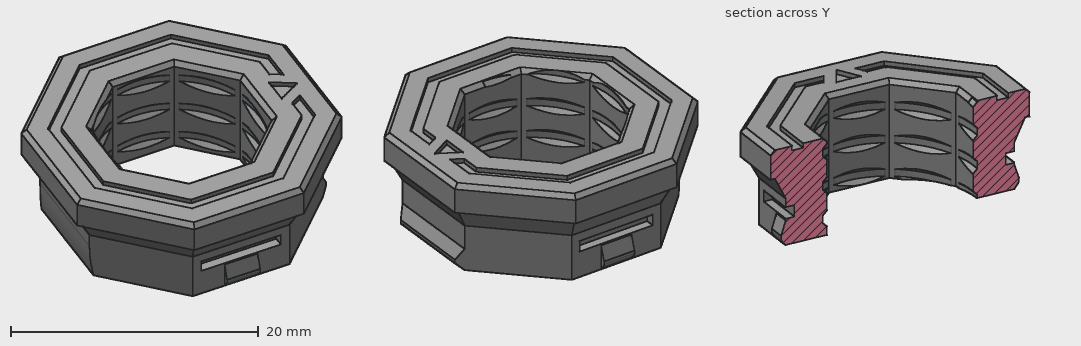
import cadquery as cq
import math

OCTAGON_SIDES = 8
CORNER_FACTOR = 1 / math.cos(math.pi / OCTAGON_SIDES)

height = 8.8
flange_apothem = 12.0
flange_bottom_z = 6.2
flange_chamfer = 0.4
flare_step = 0.4
flare_height = 2.0
skirt_apothem = 10.6
skirt_top_z = flange_bottom_z - flare_height

bore_apothem = 6.75
bore_chamfer = 0.4

thread_pitch = 3.0
thread_turns = 3
thread_overrun_angle = 6.3
thread_root_radius = 7.15
thread_root_width = 0.63
thread_inner_radius = 6.5

mark_depth = 0.4
ring_outer_apothem = 10.0
ring_inner_apothem = 9.0
pointer_height = 2.0
pointer_half_angle = 30
pointer_tip_y = 10.5
pointer_clearance = 1.0

clip_width = 3.0
clip_reach = 0.43
clip_top_z = 2.25
clip_flat_top_z = 0.95
clip_flat_bottom_z = 0.72
clip_lead_in_top_z = 0.43
clip_lead_in_reach = 0.34
slot_width = 7.2
slot_bottom_z = 2.4
slot_height = 1.0
slot_depth = 0.8

lip_reach = 0.57
lip_top_z = 2.0
lip_flat_top_z = 0.9
lip_flat_bottom_z = 0.55

relief_top_z = 3.0
relief_depth = 0.25

overlap = 0.5


def octagon(apothem, z):
    """Closed octagon wire with flats facing the X and Y axes."""
    half_side_angle = 180 / OCTAGON_SIDES
    return (
        cq.Workplane("XY", origin=(0, 0, z))
        .transformed(rotate=(0, 0, half_side_angle))
        .polygon(OCTAGON_SIDES, 2 * apothem * CORNER_FACTOR)
    )


def octagon_prism(apothem, bottom_z, top_z):
    return octagon(apothem, bottom_z).extrude(top_z - bottom_z)


def octagon_taper(bottom_apothem, bottom_z, top_apothem, top_z):
    """Octagonal frustum between two levels."""
    bottom = octagon(bottom_apothem, bottom_z).val()
    top = octagon(top_apothem, top_z).val()
    return cq.Workplane(cq.Solid.makeLoft([bottom, top], True))


def make_body():
    chamfer_z = height - flange_chamfer
    skirt = octagon_prism(skirt_apothem, 0, skirt_top_z)
    flare = octagon_taper(skirt_apothem, skirt_top_z, flange_apothem - flare_step, flange_bottom_z)
    rim = octagon_prism(flange_apothem, flange_bottom_z, chamfer_z)
    bevel = octagon_taper(flange_apothem, chamfer_z, flange_apothem - flange_chamfer, height)
    return skirt.union(flare).union(rim).union(bevel)


def make_bore():
    through = octagon_prism(bore_apothem, -overlap, height + overlap)
    bevel = octagon_taper(bore_apothem, height - bore_chamfer, bore_apothem + bore_chamfer, height)
    return through.union(bevel)


def make_thread():
    """Helical cutter that starts on the +X axis at the bottom plane."""
    half_root = thread_root_width / 2
    half_mouth = half_root + thread_root_radius - thread_inner_radius
    rise = thread_pitch * (thread_turns + thread_overrun_angle / 360)
    helix = cq.Wire.makeHelix(thread_pitch, rise, thread_root_radius)
    return (
        cq.Workplane("XZ")
        .moveTo(thread_inner_radius, -half_mouth)
        .lineTo(thread_root_radius, -half_root)
        .lineTo(thread_root_radius, half_root)
        .lineTo(thread_inner_radius, half_mouth)
        .close()
        .sweep(cq.Workplane(helix), isFrenet=True)
    )


def pointer_prism(offset):
    """Equilateral triangle pointing to +Y, with its sides moved outward by offset."""
    tip_y = pointer_tip_y + offset / math.sin(math.radians(pointer_half_angle))
    base_y = pointer_tip_y - pointer_height - offset
    half_base = (tip_y - base_y) * math.tan(math.radians(pointer_half_angle))
    return (
        cq.Workplane("XY", origin=(0, 0, height - mark_depth))
        .polyline([(0, tip_y), (half_base, base_y), (-half_base, base_y)])
        .close()
        .extrude(mark_depth)
    )


def make_top_marks():
    floor_z = height - mark_depth
    ring = octagon_prism(ring_outer_apothem, floor_z, height)
    ring = ring.cut(octagon_prism(ring_inner_apothem, floor_z, height))
    return ring.cut(pointer_prism(pointer_clearance)).union(pointer_prism(0))


def make_clip():
    """Snap clip on the +X face, with a rounded nose above a lead-in."""
    face = skirt_apothem
    nose_drop = clip_flat_bottom_z - clip_lead_in_top_z
    return (
        cq.Workplane("XZ")
        .moveTo(face - overlap, 0)
        .lineTo(face, 0)
        .lineTo(face + clip_lead_in_reach, clip_lead_in_top_z)
        .tangentArcPoint((clip_reach - clip_lead_in_reach, nose_drop), relative=True)
        .lineTo(face + clip_reach, clip_flat_top_z)
        .lineTo(face, clip_top_z)
        .lineTo(face - overlap, clip_top_z)
        .close()
        .extrude(clip_width / 2, both=True)
    )


def make_slot():
    """Shallow slot above the +X clip."""
    slot_floor = cq.Workplane("XY", origin=(skirt_apothem - slot_depth, 0, slot_bottom_z))
    return slot_floor.box(slot_depth, slot_width, slot_height, centered=(False, True, False))


def make_lip():
    """Lip along the whole +Y face, ended by the planes of the neighbouring faces."""
    face = skirt_apothem
    bar = (
        cq.Workplane("YZ")
        .moveTo(face - overlap, 0)
        .lineTo(face, 0)
        .lineTo(face + lip_reach, lip_flat_bottom_z)
        .lineTo(face + lip_reach, lip_flat_top_z)
        .lineTo(face, lip_top_z)
        .lineTo(face - overlap, lip_top_z)
        .close()
        .extrude(skirt_apothem, both=True)
    )
    diagonal_square = (
        cq.Workplane("XY")
        .transformed(rotate=(0, 0, 360 / OCTAGON_SIDES))
        .rect(2 * skirt_apothem, 2 * skirt_apothem)
        .extrude(lip_top_z)
    )
    return bar.intersect(diagonal_square)


def make_relief():
    """Cutter that rounds the lower -Y face inward, tangent to the flat above."""
    radius = (relief_top_z**2 + relief_depth**2) / (2 * relief_depth)
    half_angle = math.asin(relief_top_z / radius) / 2
    mid_y = -skirt_apothem + radius * (1 - math.cos(half_angle))
    mid_z = relief_top_z - radius * math.sin(half_angle)
    return (
        cq.Workplane("YZ")
        .moveTo(-skirt_apothem, relief_top_z)
        .threePointArc((mid_y, mid_z), (-skirt_apothem + relief_depth, 0))
        .lineTo(-skirt_apothem - overlap, 0)
        .lineTo(-skirt_apothem - overlap, relief_top_z)
        .close()
        .extrude(skirt_apothem, both=True)
    )


def on_both_x_faces(feature):
    return feature.union(feature.mirror("YZ"))


result = (
    make_body()
    .cut(make_relief())
    .union(make_lip())
    .union(on_both_x_faces(make_clip()))
    .cut(on_both_x_faces(make_slot()))
    .cut(make_thread())
    .cut(make_bore())
    .cut(make_top_marks())
)